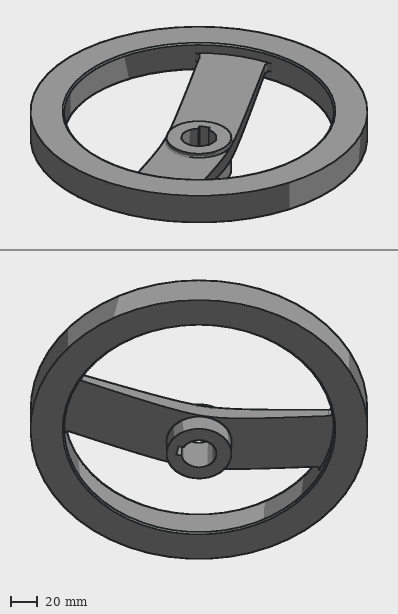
import cadquery as cq

rim_outer_radius = 125.0
rim_inner_radius = 100.0
rim_height = 23.0
rim_chamfer = 1.2

hub_radius = 24.0
hub_top = -22.5
hub_bottom = -51.0
bore_radius = 13.0
keyway_width = 8.0
keyway_reach = 16.2

spoke_width = 50.0
web_inner_radius = 25.0
web_top_inner = -25.5
web_top_outer = -8.2
web_bottom_inner = -37.0
web_bottom_outer = -15.2
hub_fillet = 1.0
corner_fillet = 3.0
selection_margin = 0.2


def revolve_profile(points):
    """Revolve an (R, Z) outline about the Z axis."""
    return cq.Workplane("XZ").polyline(points).close().revolve(360, (0, 0), (0, 1))


def make_rim():
    return revolve_profile([
        (rim_outer_radius, 0),
        (rim_outer_radius, -rim_height),
        (rim_inner_radius + rim_chamfer, -rim_height),
        (rim_inner_radius, -rim_height + rim_chamfer),
        (rim_inner_radius, -rim_chamfer),
        (rim_inner_radius + rim_chamfer, 0),
    ])


def make_spokes():
    """Dished web, trimmed to a straight strip with flared ends at the rim."""
    web = revolve_profile([
        (0, web_top_inner),
        (web_inner_radius, web_top_inner),
        (rim_inner_radius, web_top_outer),
        (rim_inner_radius, web_bottom_outer),
        (web_inner_radius, web_bottom_inner),
        (0, web_bottom_inner),
    ])
    depth = -hub_bottom
    surround = (
        cq.Workplane("XY").workplane(offset=hub_bottom)
        .circle(rim_outer_radius).circle(rim_inner_radius).extrude(depth)
    )
    strip = (
        cq.Workplane("XY").workplane(offset=hub_bottom)
        .rect(spoke_width, rim_inner_radius + rim_outer_radius).extrude(depth)
    )
    half_width = spoke_width / 2
    reach = (rim_inner_radius**2 - half_width**2) ** 0.5
    corners = cq.selectors.BoxSelector(
        (-half_width - selection_margin, -reach - selection_margin, hub_bottom),
        (half_width + selection_margin, reach + selection_margin, 0),
    )
    trim = surround.union(strip).edges("|Z").edges(corners).fillet(corner_fillet)
    return web.intersect(trim)


def make_hub():
    """Plain cylinder with a concave fillet where it rises from the web."""
    return (
        cq.Workplane("XZ")
        .moveTo(0, hub_top)
        .lineTo(hub_radius, hub_top)
        .lineTo(hub_radius, web_top_inner + hub_fillet)
        .radiusArc((hub_radius + hub_fillet, web_top_inner), -hub_fillet)
        .lineTo(hub_radius, web_top_inner - hub_fillet)
        .lineTo(hub_radius, hub_bottom)
        .lineTo(0, hub_bottom)
        .close()
        .revolve(360, (0, 0), (0, 1))
    )


def make_bore():
    depth = hub_top - hub_bottom
    base = cq.Workplane("XY").workplane(offset=hub_bottom)
    keyway = base.center(0, keyway_reach / 2).rect(keyway_width, keyway_reach).extrude(depth)
    return base.circle(bore_radius).extrude(depth).union(keyway)


result = make_rim().union(make_spokes()).union(make_hub()).cut(make_bore())